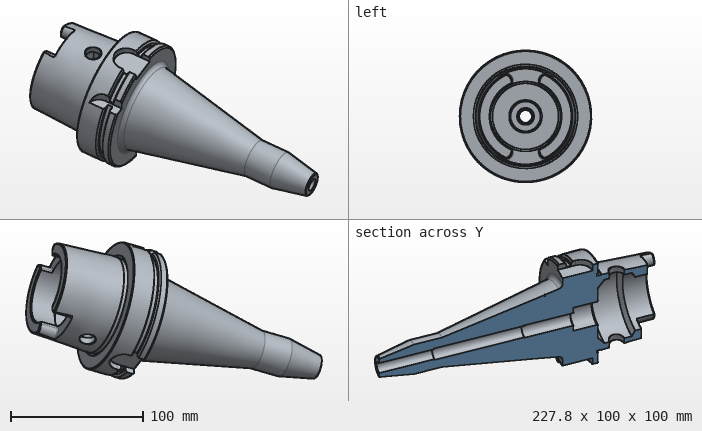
import cadquery as cq
import math


total_length = 227.8
shank_length = 50.0
shank_start = -shank_length
nose_end = total_length - shank_length

shank_max_diameter = 75.9
shank_taper = 1 / 10
lip_end = -2.6
neck_start = -2.2
neck_diameter = 75.16
rim_chamfer = 0.9

relief_diameter = 79.0
relief_depth = 1.0

flange_diameter = 100.0
flange_width = 29.0
flange_front_chamfer = 0.7
flange_back_chamfer = 1.2
groove_center = 20.0
groove_bottom_diameter = 92.0
groove_wall_diameter = 96.0
groove_width = 3.75
groove_flank_angle = 30.0

nose_diameter = 30.07
nose_length = 51.0
tip_length = 28.2
tip_diameter = 18.9
tip_chamfer = 0.6
body_half_angle = 11.45
body_fillet = 4.0

bore_diameter = 53.0
bore_depth = 20.0
undercut_diameter = 63.0
undercut_angle = 60.0
cavity_floor_diameter = 50.0
cavity_depth = 50.0
floor_cone_length = 5.0
counterbore_diameter = 22.6
counterbore_mouth_diameter = 25.0
counterbore_depth = 20.0
passage_mouth_diameter = 13.0
passage_diameter = 11.99
passage_depth = 40.0
relief_bore_diameter = 11.05
tool_bore_diameter = 9.53
tool_bore_length = 45.0

slot_width = 20.0
slot_depth_top = 10.0
slot_depth_bottom = 15.0
slot_corner_radius = 6.0
slot_corner_height = 26.5
slot_floor_fillet = 0.8

cross_hole_diameter = 11.99
cross_hole_mouth_diameter = 13.0
cross_hole_x = -15.0

keyway_width = 20.0
keyway_start = 4.6
keyway_floor = 44.0
notch_offset = 31.4


def make_outer_body():
    """Revolve the outside of the holder about X."""
    shank_end_radius = (shank_max_diameter - shank_taper * (lip_end - shank_start)) / 2
    flange_radius = flange_diameter / 2
    neck_radius = neck_diameter / 2
    nose_radius = nose_diameter / 2
    tip_radius = tip_diameter / 2
    nose_start = nose_end - nose_length

    flank_length = (flange_diameter - groove_wall_diameter) / 2 * math.tan(math.radians(groove_flank_angle))
    groove_left = groove_center - groove_width / 2
    groove_right = groove_center + groove_width / 2

    angle = math.radians(body_half_angle)
    cone_top_x = flange_width + body_fillet * (1 - math.sin(angle))
    cone_top_radius = nose_radius + (nose_start - cone_top_x) * math.tan(angle)
    fillet_center_radius = cone_top_radius + body_fillet * math.cos(angle)
    mid_angle = (math.pi / 2 - angle) / 2
    fillet_mid = (
        flange_width + body_fillet * (1 - math.cos(mid_angle)),
        fillet_center_radius - body_fillet * math.sin(mid_angle),
    )

    profile = (
        cq.Workplane("XY")
        .moveTo(shank_start, 0)
        .lineTo(shank_start, shank_end_radius - rim_chamfer)
        .lineTo(shank_start + rim_chamfer, shank_end_radius)
        .lineTo(lip_end, shank_max_diameter / 2)
        .lineTo(neck_start, neck_radius)
        .lineTo(relief_depth, neck_radius)
        .lineTo(relief_depth, relief_diameter / 2)
        .lineTo(0, relief_diameter / 2)
        .lineTo(0, flange_radius - flange_front_chamfer)
        .lineTo(flange_front_chamfer, flange_radius)
        .lineTo(groove_left - flank_length, flange_radius)
        .lineTo(groove_left, groove_wall_diameter / 2)
        .lineTo(groove_left, groove_bottom_diameter / 2)
        .lineTo(groove_right, groove_bottom_diameter / 2)
        .lineTo(groove_right, groove_wall_diameter / 2)
        .lineTo(groove_right + flank_length, flange_radius)
        .lineTo(flange_width - flange_back_chamfer, flange_radius)
        .lineTo(flange_width, flange_radius - flange_back_chamfer)
        .lineTo(flange_width, fillet_center_radius)
        .threePointArc(fillet_mid, (cone_top_x, cone_top_radius))
        .lineTo(nose_start, nose_radius)
        .lineTo(nose_end - tip_length, nose_radius)
        .lineTo(nose_end - tip_chamfer, tip_radius)
        .lineTo(nose_end, tip_radius - tip_chamfer)
        .lineTo(nose_end, 0)
        .close()
    )
    return profile.revolve(360, (0, 0, 0), (1, 0, 0))


def make_cavity():
    """Revolve the stepped inside of the holder about X."""
    bore_end = shank_start + bore_depth
    undercut_rise = (undercut_diameter - bore_diameter) / 2
    undercut_start = bore_end + undercut_rise / math.tan(math.radians(undercut_angle))
    floor = shank_start + cavity_depth
    mouth_chamfer = (counterbore_mouth_diameter - counterbore_diameter) / 2
    counterbore_floor = floor + counterbore_depth
    passage_chamfer = (passage_mouth_diameter - passage_diameter) / 2
    passage_end = counterbore_floor + passage_depth
    tool_bore_start = nose_end - tool_bore_length

    profile = (
        cq.Workplane("XY")
        .moveTo(shank_start, 0)
        .lineTo(shank_start, bore_diameter / 2 + rim_chamfer)
        .lineTo(shank_start + rim_chamfer, bore_diameter / 2)
        .lineTo(bore_end, bore_diameter / 2)
        .lineTo(undercut_start, undercut_diameter / 2)
        .lineTo(floor - floor_cone_length, undercut_diameter / 2)
        .lineTo(floor, cavity_floor_diameter / 2)
        .lineTo(floor, counterbore_mouth_diameter / 2)
        .lineTo(floor + mouth_chamfer, counterbore_diameter / 2)
        .lineTo(counterbore_floor, counterbore_diameter / 2)
        .lineTo(counterbore_floor, passage_mouth_diameter / 2)
        .lineTo(counterbore_floor + passage_chamfer, passage_diameter / 2)
        .lineTo(passage_end, passage_diameter / 2)
        .lineTo(passage_end, relief_bore_diameter / 2)
        .lineTo(tool_bore_start, relief_bore_diameter / 2)
        .lineTo(tool_bore_start, tool_bore_diameter / 2)
        .lineTo(nose_end, tool_bore_diameter / 2)
        .lineTo(nose_end, 0)
        .close()
    )
    return profile.revolve(360, (0, 0, 0), (1, 0, 0))


def draw_slot_outline(workplane, side, growth):
    """Drive slot cross-section, grown outward by an offset; its sides flare over rounded land corners."""
    half_width = slot_width / 2 + growth
    corner_radius = slot_corner_radius - growth
    outer_half_width = half_width + corner_radius
    corner_top = slot_corner_height + corner_radius
    slot_top = shank_max_diameter / 2 + slot_corner_radius
    arc_inset = corner_radius * (1 - math.sqrt(0.5))
    arc_mid_y = half_width + arc_inset
    arc_mid_z = corner_top - arc_inset

    return (
        workplane
        .moveTo(-half_width, 0)
        .lineTo(half_width, 0)
        .lineTo(half_width, side * slot_corner_height)
        .threePointArc((arc_mid_y, side * arc_mid_z), (outer_half_width, side * corner_top))
        .lineTo(outer_half_width, side * slot_top)
        .lineTo(-outer_half_width, side * slot_top)
        .lineTo(-outer_half_width, side * corner_top)
        .threePointArc((-arc_mid_y, side * arc_mid_z), (-half_width, side * slot_corner_height))
        .close()
    )


def make_drive_slot(depth, side):
    """Drive slot on the +Z (side = 1) or -Z (side = -1) half, with a chamfered mouth and filleted floor."""
    end_plane = cq.Workplane("YZ", origin=(shank_start, 0, 0))
    slot = draw_slot_outline(end_plane, side, 0).extrude(depth)
    slot = slot.faces(">X").edges().fillet(slot_floor_fillet)
    mouth = draw_slot_outline(end_plane, side, rim_chamfer)
    mouth = draw_slot_outline(mouth.workplane(offset=rim_chamfer), side, 0).loft(ruled=True)
    return slot.union(mouth)


def make_cross_hole():
    """Hole across the shank along Z with a countersunk mouth on each side."""
    wall_radius = (shank_max_diameter + shank_taper * cross_hole_x) / 2
    hole = cq.Workplane("XY").center(cross_hole_x, 0).circle(cross_hole_diameter / 2)
    hole = hole.extrude(flange_diameter / 2, both=True)
    chamfer = (cross_hole_mouth_diameter - cross_hole_diameter) / 2
    for side in (1, -1):
        mouth = (
            cq.Workplane("XY", origin=(cross_hole_x, 0, side * wall_radius))
            .circle(cross_hole_mouth_diameter / 2)
            .workplane(offset=-side * 2 * chamfer)
            .circle(cross_hole_diameter / 2 - chamfer)
            .loft()
        )
        hole = hole.union(mouth)
    return hole


def make_milled_slot(center_y, floor_z):
    """Round-ended slot open at the flange back face, cleared above its flat floor."""
    radius = keyway_width / 2
    end_center = keyway_start + radius
    height = flange_diameter / 2
    length = flange_width - end_center
    straight = cq.Workplane("XY", origin=(end_center, center_y - radius, floor_z))
    straight = straight.box(length, keyway_width, height, centered=False)
    round_end = cq.Workplane("XY", origin=(end_center, center_y, floor_z)).circle(radius).extrude(height)
    return straight.union(round_end)


keyway = make_milled_slot(0, keyway_floor)
notch = make_milled_slot(-notch_offset - keyway_width / 2, notch_offset)

result = (
    make_outer_body()
    .cut(make_cavity())
    .cut(make_drive_slot(slot_depth_top, 1))
    .cut(make_drive_slot(slot_depth_bottom, -1))
    .cut(make_cross_hole())
    .cut(keyway)
    .cut(keyway.mirror("XY"))
    .cut(notch)
)